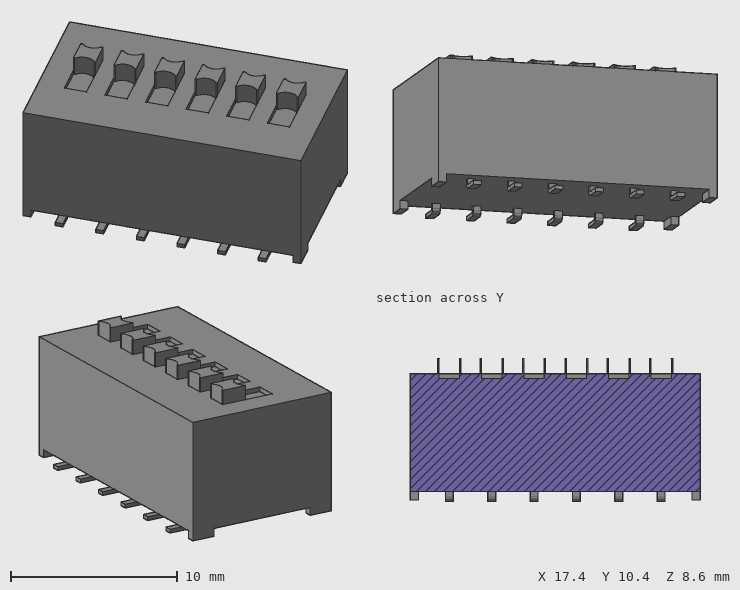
import cadquery as cq
import math


BODY_LENGTH = 17.42
BODY_WIDTH = 9.8
BODY_HEIGHT = 7.6
FOOT_LENGTH = 0.5
FOOT_WIDTH = 1.5
FOOT_HEIGHT = 0.5

POSITION_COUNT = 6
PITCH = 2.55
POSITIONS_X = [(i - (POSITION_COUNT - 1) / 2) * PITCH for i in range(POSITION_COUNT)]

SLOT_WIDTH = 1.4
SLOT_LENGTH = 3.5
SLOT_DEPTH = 0.3

LEVER_LENGTH = 1.6
LEVER_RISE = 0.9
LEVER_LAND = 0.09
SCOOP_RADIUS = 0.8

LEAD_SPAN = 10.4
LEAD_WIDTH = 0.49
LEAD_THICKNESS = 0.25
LEAD_DROP = 0.1
LEAD_INNER_FACE_Y = 3.68
INNER_BEND_RADIUS = 0.05
LEAD_EMBED = 0.17


def make_housing():
    """Block standing on four corner feet."""
    underside_height = BODY_HEIGHT - FOOT_HEIGHT
    housing = (
        cq.Workplane("XY")
        .workplane(offset=FOOT_HEIGHT)
        .box(BODY_LENGTH, BODY_WIDTH, underside_height, centered=(True, True, False))
    )
    feet = (
        cq.Workplane("XY")
        .rect(BODY_LENGTH - FOOT_LENGTH, BODY_WIDTH - FOOT_WIDTH, forConstruction=True)
        .vertices()
        .rect(FOOT_LENGTH, FOOT_WIDTH)
        .extrude(FOOT_HEIGHT)
    )
    return housing.union(feet)


def make_slot(x):
    """Cutter for the shallow rectangular slot that a lever slides in."""
    return (
        cq.Workplane("XY")
        .workplane(offset=BODY_HEIGHT - SLOT_DEPTH)
        .center(x, 0)
        .rect(SLOT_WIDTH, SLOT_LENGTH)
        .extrude(SLOT_DEPTH)
    )


def make_lever(x):
    """Upright lever with a concave cylindrical scoop in its front and back faces."""
    half_width = SLOT_WIDTH / 2
    half_chord = half_width - LEVER_LAND
    scoop_depth = SCOOP_RADIUS - math.sqrt(SCOOP_RADIUS**2 - half_chord**2)
    back_y = SLOT_LENGTH / 2
    front_y = back_y - LEVER_LENGTH
    return (
        cq.Workplane("XY")
        .workplane(offset=BODY_HEIGHT - SLOT_DEPTH)
        .center(x, 0)
        .moveTo(-half_width, front_y)
        .lineTo(-half_chord, front_y)
        .threePointArc((0, front_y + scoop_depth), (half_chord, front_y))
        .lineTo(half_width, front_y)
        .lineTo(half_width, back_y)
        .lineTo(half_chord, back_y)
        .threePointArc((0, back_y - scoop_depth), (-half_chord, back_y))
        .lineTo(-half_width, back_y)
        .close()
        .extrude(SLOT_DEPTH + LEVER_RISE)
    )


def make_lead(x):
    """Bent lead on the +Y side, ending slightly inside the housing."""
    tip_y = LEAD_SPAN / 2
    outer_face_y = LEAD_INNER_FACE_Y + LEAD_THICKNESS
    bottom_z = -LEAD_DROP
    foot_top_z = bottom_z + LEAD_THICKNESS
    top_z = FOOT_HEIGHT + LEAD_EMBED
    outer_bend_radius = INNER_BEND_RADIUS + LEAD_THICKNESS
    bend_y = outer_face_y + INNER_BEND_RADIUS
    bend_z = foot_top_z + INNER_BEND_RADIUS
    diagonal = math.sqrt(0.5)
    outer_middle = (bend_y - diagonal * outer_bend_radius, bend_z - diagonal * outer_bend_radius)
    inner_middle = (bend_y - diagonal * INNER_BEND_RADIUS, bend_z - diagonal * INNER_BEND_RADIUS)
    return (
        cq.Workplane("YZ")
        .workplane(offset=x - LEAD_WIDTH / 2)
        .moveTo(tip_y, bottom_z)
        .lineTo(bend_y, bottom_z)
        .threePointArc(outer_middle, (LEAD_INNER_FACE_Y, bend_z))
        .lineTo(LEAD_INNER_FACE_Y, top_z)
        .lineTo(outer_face_y, top_z)
        .lineTo(outer_face_y, bend_z)
        .threePointArc(inner_middle, (bend_y, foot_top_z))
        .lineTo(tip_y, foot_top_z)
        .close()
        .extrude(LEAD_WIDTH)
    )


result = make_housing()
for position_x in POSITIONS_X:
    back_lead = make_lead(position_x)
    front_lead = back_lead.mirror("XZ")
    result = result.cut(make_slot(position_x)).union(make_lever(position_x))
    result = result.union(back_lead).union(front_lead)